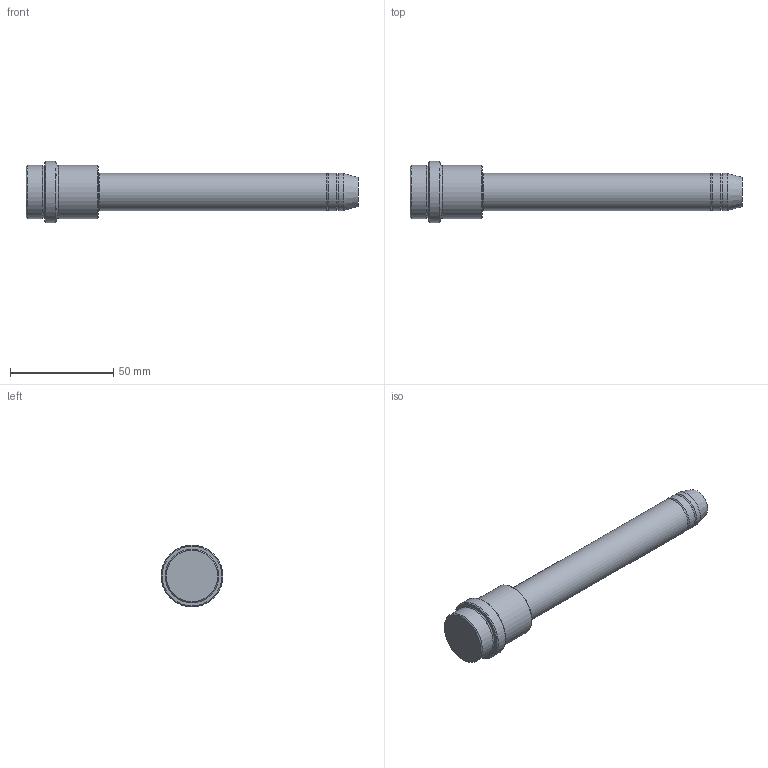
import cadquery as cq
import math

total_length = 161.0
head_length = 35.0
flange_start = 9.0
flange_length = 6.0
tip_length = 7.0

head_diameter = 26.0
flange_diameter = 30.0
shaft_diameter = 18.0

edge_chamfer = 0.5
tip_angle = 15.0

flange_relief_width = 1.0
oil_groove_width = 1.0
oil_groove_starts = (145.5, 150.5)

root_fillet = 0.5


def cylinder(diameter, start, length):
    """Solid cylinder on the X axis, from x = start towards +X."""
    return cq.Workplane("YZ", origin=(start, 0, 0)).circle(diameter / 2).extrude(length)


def round_groove(diameter, start, width):
    """Torus that cuts a half-round groove into a cylinder of the given diameter."""
    groove_centre = (start + width / 2, diameter / 2)
    profile = cq.Workplane("XY").moveTo(*groove_centre).circle(width / 2)
    return profile.revolve(360, (0, 0, 0), (1, 0, 0))


def make_head():
    """Head with both ends chamfered and a relief groove on each side of the flange."""
    head = cylinder(head_diameter, 0, head_length).faces("<X or >X").chamfer(edge_chamfer)
    flange_end = flange_start + flange_length
    for start in (flange_start - flange_relief_width, flange_end):
        head = head.cut(round_groove(head_diameter, start, flange_relief_width))
    return head


def make_flange():
    """Locating flange with chamfered rims."""
    flange = cylinder(flange_diameter, flange_start, flange_length)
    return flange.faces("<X or >X").chamfer(edge_chamfer)


def make_shaft():
    """Shaft with lubrication grooves and a conical tip."""
    tip_radius_drop = tip_length * math.tan(math.radians(tip_angle))
    shaft = cylinder(shaft_diameter, head_length, total_length - head_length)
    shaft = shaft.faces(">X").chamfer(tip_length, tip_radius_drop)
    for start in oil_groove_starts:
        shaft = shaft.cut(round_groove(shaft_diameter, start, oil_groove_width))
    return shaft


def fillet_shaft_root(pin):
    """Round the inner corner between the shaft and the end face of the head."""
    end_face_mid_radius = (head_diameter + shaft_diameter) / 4
    end_face_point = (head_length, end_face_mid_radius, 0)
    end_face = pin.faces(cq.selectors.NearestToPointSelector(end_face_point))
    smallest_circle = cq.selectors.RadiusNthSelector(0)
    return end_face.edges(smallest_circle).fillet(root_fillet)


pin = make_head().union(make_flange()).union(make_shaft())
result = fillet_shaft_root(pin)